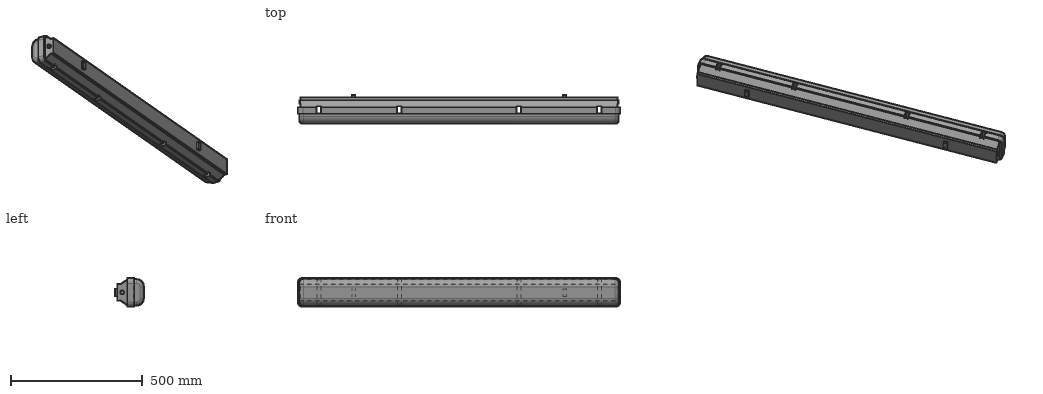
import cadquery as cq

rim_length = 1224.0
rim_height = 110.0
overall_depth = 110.0

rim_front_y = 38.0
rim_back_y = 64.0
slope_back_y = 90.0
housing_back_y = 102.0

cover_length = 1214.0
cover_height = 102.0
cover_corner_radius = 29.0
cover_end_radius = 16.0

rim_corner_radius = 20.0
housing_length = 1205.0
housing_front_height = 98.0
slope_end_height = 61.0
housing_back_height = 64.0

boss_diameter = 15.0
boss_y = 83.0
boss_tip_spacing = cover_length

pad_width = 15.0
pad_height = 29.0
pad_spacing = 800.0

slot_width = 16.0
slot_front_y = 40.0
slot_back_y = 66.0
inner_slot_x = 226.0
outer_slot_x = 532.0


def make_cover():
    """Long cover with rounded front corners and rounded ends."""
    cover = cq.Workplane("XY").box(cover_length, rim_front_y, cover_height, centered=(True, False, True))
    cover = cover.edges("|X and <Y").fillet(cover_corner_radius)
    end_edges = cover.faces("<X or >X").edges("not(>Y)")
    return cover.newObject(end_edges.vals()).fillet(cover_end_radius)


def make_rim():
    """Flat band around the housing, the widest part of the fixture."""
    rim_depth = rim_back_y - rim_front_y
    rim = cq.Workplane("XY").box(rim_length, rim_depth, rim_height, centered=(True, False, True))
    return rim.edges("|Y").fillet(rim_corner_radius).translate((0, rim_front_y, 0))


def make_back():
    """Tapered back of the housing, with a small step up from the slopes to the flat back rail."""
    front_z = housing_front_height / 2
    slope_end_z = slope_end_height / 2
    back_z = housing_back_height / 2
    return (
        cq.Workplane("YZ")
        .moveTo(rim_back_y, -front_z)
        .lineTo(slope_back_y, -slope_end_z)
        .lineTo(slope_back_y, -back_z)
        .lineTo(housing_back_y, -back_z)
        .lineTo(housing_back_y, back_z)
        .lineTo(slope_back_y, back_z)
        .lineTo(slope_back_y, slope_end_z)
        .lineTo(rim_back_y, front_z)
        .close()
        .extrude(housing_length / 2, both=True)
    )


def make_end_bosses():
    """One rod along X whose two tips stand out as the end bosses."""
    return (
        cq.Workplane("YZ")
        .center(boss_y, 0)
        .circle(boss_diameter / 2)
        .extrude(boss_tip_spacing / 2, both=True)
    )


def make_pad(x):
    """Mounting pad on the back of the housing."""
    pad_depth = overall_depth - housing_back_y
    pad = cq.Workplane("XY").box(pad_width, pad_depth, pad_height, centered=(True, False, True))
    return pad.translate((x, housing_back_y, 0))


def make_slot(x):
    """Cutter for a slot that runs through the rim from top to bottom."""
    slot_depth = slot_back_y - slot_front_y
    slot = cq.Workplane("XY").box(slot_width, slot_depth, rim_height, centered=(True, False, True))
    return slot.translate((x, slot_front_y, 0))


def make_housing():
    """Rim, tapered back, end bosses and pads as one solid, with the slots cut."""
    housing = make_rim().union(make_back()).union(make_end_bosses())
    for x in (-pad_spacing / 2, pad_spacing / 2):
        housing = housing.union(make_pad(x))
    for x in (-outer_slot_x, -inner_slot_x, inner_slot_x, outer_slot_x):
        housing = housing.cut(make_slot(x))
    return housing


cover = make_cover()
housing = make_housing()

result = cq.Compound.makeCompound([cover.val(), housing.val()])